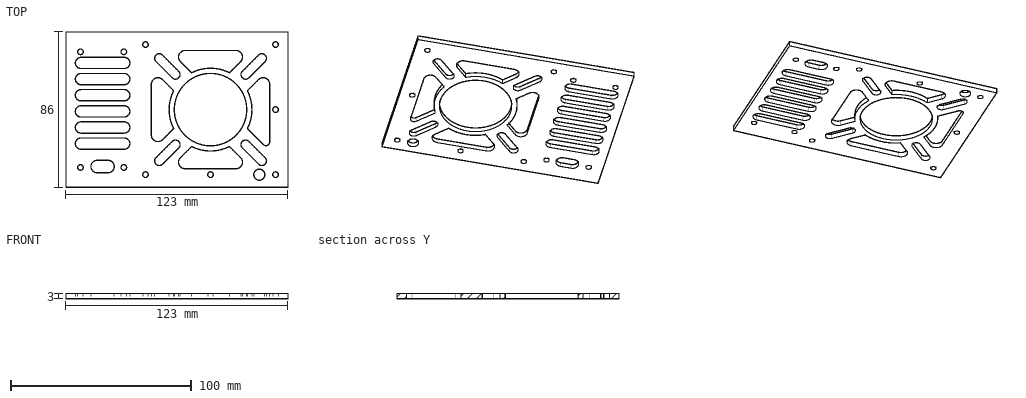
import cadquery as cq
import math

plate_length = 123.0
plate_width = 86.0
plate_thickness = 3.0

fan_x = 18.5
fan_opening_diameter = 40.0
ring_width = 3.0
ring_radius = fan_opening_diameter / 2 + ring_width
fan_hole_offset = 36.0
screw_diameter = 3.0

window_outer_offset = 32.7
spoke_width = 14.1
window_corner_radius = 3.6
small_corner_radius = 2.0

spoke_slot_offset = 23.9
spoke_slot_length = 17.7
spoke_slot_width = 5.0
spoke_angle = 45

vent_x = -41.23
vent_length = 30.1
vent_width = 6.1
vent_pitch = 8.93
vent_count = 6
vent_middle_y = 3.5
cable_slot_length = 12.8
cable_slot_width = 6.8
cable_slot_y = -31.5

vent_holes_x = -41.5
vent_hole_offset_x = 12.0
vent_hole_offset_y = 32.0

cable_hole_diameter = 6.0
cable_hole_x = 45.5


def round_holes(points, diameter):
    """Through cutters at the given points."""
    return cq.Workplane("XY").pushPoints(points).circle(diameter / 2).extrude(plate_thickness)


def slots(points, length, width, angle=0):
    """Through cutters with full-round ends at the given points."""
    return cq.Workplane("XY").pushPoints(points).slot2D(length, width, angle).extrude(plate_thickness)


def window(angle, lower_radius, upper_radius):
    """Window cutter lying at the given angle about the fan centre.

    The two radii round the outer corners on the clockwise and
    counterclockwise sides of the window.
    """
    edge_shift = spoke_width / math.sqrt(2)
    corner_y = window_outer_offset - edge_shift
    tip_y = (math.sqrt(2 * ring_radius**2 - edge_shift**2) - edge_shift) / 2
    tip_x = tip_y + edge_shift
    cutter = (
        cq.Workplane("XY")
        .moveTo(tip_x, -tip_y)
        .lineTo(window_outer_offset, -corner_y)
        .lineTo(window_outer_offset, corner_y)
        .lineTo(tip_x, tip_y)
        .threePointArc((ring_radius, 0), (tip_x, -tip_y))
        .close()
        .extrude(plate_thickness)
    )
    cutter = cutter.edges("|Z").edges("<Y").fillet(lower_radius)
    cutter = cutter.edges("|Z").edges(">Y").fillet(upper_radius)
    return cutter.rotate((0, 0, 0), (0, 0, 1), angle).translate((fan_x, 0, 0))


def fan_cutters():
    """Fan opening, windows, spoke slots and mounting holes."""
    cutters = [round_holes([(fan_x, 0)], fan_opening_diameter)]
    cutters.append(window(0, small_corner_radius, window_corner_radius))
    for angle in (90, 180, 270):
        cutters.append(window(angle, window_corner_radius, window_corner_radius))
    for side_x in (-1, 1):
        for side_y in (-1, 1):
            center = (fan_x + side_x * spoke_slot_offset, side_y * spoke_slot_offset)
            slot_angle = spoke_angle * side_x * side_y
            cutters.append(slots([center], spoke_slot_length, spoke_slot_width, slot_angle))
    left, right = fan_x - fan_hole_offset, fan_x + fan_hole_offset
    low, high = -fan_hole_offset, fan_hole_offset
    screws = [(left, low), (left, high), (right, low), (right, high), (right, 0), (fan_x, low)]
    cutters.append(round_holes(screws, screw_diameter))
    cutters.append(round_holes([(cable_hole_x, low)], cable_hole_diameter))
    return cutters


def vent_cutters():
    """Vent slots, cable slot and the four screw holes around them."""
    first_y = vent_middle_y - vent_pitch * (vent_count - 1) / 2
    vents = [(vent_x, first_y + i * vent_pitch) for i in range(vent_count)]
    screws = [
        (vent_holes_x + side_x * vent_hole_offset_x, side_y * vent_hole_offset_y)
        for side_x in (-1, 1)
        for side_y in (-1, 1)
    ]
    return [
        slots(vents, vent_length, vent_width),
        slots([(vent_x, cable_slot_y)], cable_slot_length, cable_slot_width),
        round_holes(screws, screw_diameter),
    ]


plate = cq.Workplane("XY").box(
    plate_length, plate_width, plate_thickness, centered=(True, True, False)
)
for cutter in fan_cutters() + vent_cutters():
    plate = plate.cut(cutter)

result = plate